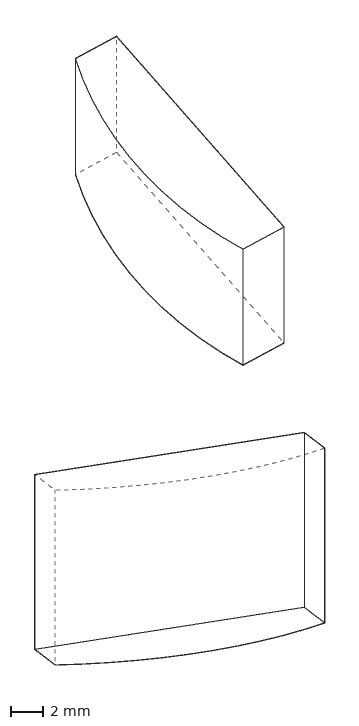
import cadquery as cq

width = 18.25
height = 11.5
center_thickness = 4.75
edge_thickness = 3.08

half_width = width / 2
back_y = center_thickness / 2
edge_y = back_y - edge_thickness
crown_y = back_y - center_thickness

result = (
    cq.Workplane("XY")
    .moveTo(-half_width, back_y)
    .lineTo(-half_width, edge_y)
    .threePointArc((0, crown_y), (half_width, edge_y))
    .lineTo(half_width, back_y)
    .close()
    .extrude(height / 2, both=True)
)